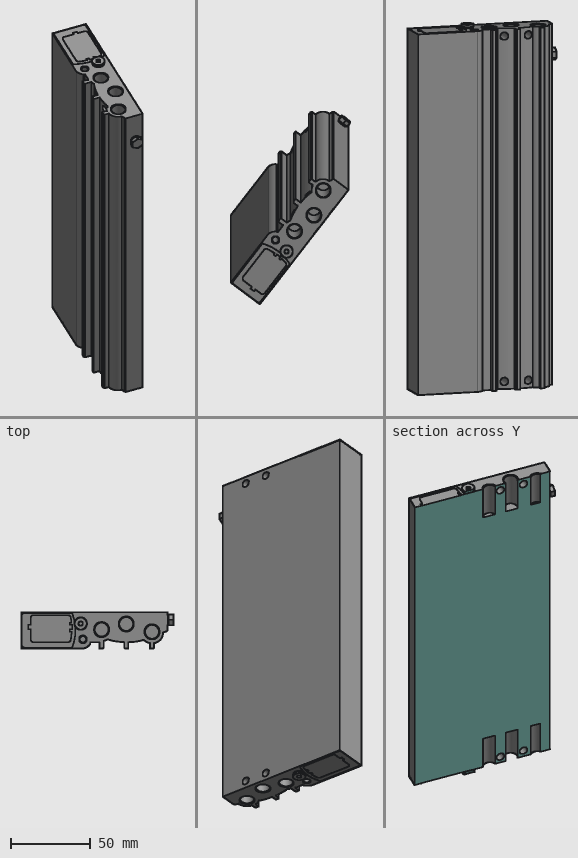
import cadquery as cq
import math


total_length = 234.0
total_width = 95.5
depth = 23.0
screw_height = 2.0
body_length = total_length - 2 * screw_height
body_end = body_length / 2
plug_height = 3.7
body_width = total_width - plug_height

channel_1 = (50.3, 12.0)
channel_2 = (65.8, 15.5)
channel_3 = (82.0, 10.5)
channel_diameter = 8.7
channel_mouth = 9.5
boss_radius = 7.3
small_port = (38.5, 5.8)
small_port_diameter = 4.0
small_port_mouth = 5.0
port_depth = 23.5

base_end_x = 38.8
shoulder_x = 43.3
shoulder_start_y = 3.0
base_curve_middle = (41.2, 1.0)
web_y = 4.0
crest_left_x = 54.0
crest_right_x = 76.8
web_arc_sag = 0.35
rib_width = 2.8
rib_chamfer = 0.7
corner_curve_middle = (86.8, 5.1)
corner_ledge = (89.0, 10.0)
corner_slope_y = 10.8
corner_wall_y = 11.5
corner_slope_x = body_width - 0.7

cross_hole_diameter = 5.0
cross_hole_x = (58.0, 73.7)
cross_hole_z = 110.0

recess_step = 0.12
recess_left = 0.2
recess_wall = 0.7
recess_right = 31.8
recess_bulge = 2.0
recess_corner = 1.57
panel_left = 5.8
panel_right = 30.7
panel_bottom = 4.0
panel_top = 21.0
panel_bulge = 1.0
panel_corner = 1.8
panel_middle = (panel_bottom + panel_top) / 2
tab_y = 13.5
tab_width = 2.8
tab_reach = 1.5
key_bottom = 10.5
key_top = 16.1
key_left = 30.5
key_right = 31.8

screw_position = (37.2, 15.7)
screw_diameter = 8.0
socket_diameter = 2.5
socket_mouth = 2.8
socket_depth = 1.5
neck_height = 0.7
neck_inset = 0.2

plug_y = 18.0
plug_z = 94.5
plug_corner_diameter = 8.0
plug_flat_diameter = plug_corner_diameter * math.cos(math.pi / 6)


def boss_point(center, x):
    """Point on the front of the round boss around a channel, at the given x."""
    return (x, center[1] - math.sqrt(boss_radius**2 - (x - center[0]) ** 2))


def section():
    """Closed outline of the extruded manifold."""
    half = rib_width / 2
    rib_1_left, rib_1_right = channel_1[0] - half, channel_1[0] + half
    rib_2_left, rib_2_right = channel_2[0] - half, channel_2[0] + half
    rib_3_left, rib_3_right = channel_3[0] - half, channel_3[0] + half
    crest_left = boss_point(channel_1, crest_left_x)
    crest_right = boss_point(channel_3, crest_right_x)
    boss_left_middle = boss_point(channel_1, (rib_1_right + crest_left_x) / 2)
    boss_right_middle = boss_point(channel_3, (crest_right_x + rib_3_left) / 2)
    web_left_middle = ((crest_left_x + rib_2_left) / 2, (crest_left[1] + web_y) / 2 - web_arc_sag)
    web_right_middle = ((crest_right_x + rib_2_right) / 2, (crest_right[1] + web_y) / 2 - web_arc_sag)
    return (
        cq.Workplane("XY")
        .moveTo(0, 0)
        .lineTo(base_end_x, 0)
        .threePointArc(base_curve_middle, (shoulder_x, shoulder_start_y))
        .lineTo(shoulder_x, web_y)
        .lineTo(rib_1_left, web_y)
        .lineTo(rib_1_left, 0)
        .lineTo(rib_1_right - rib_chamfer, 0)
        .lineTo(rib_1_right, rib_chamfer)
        .lineTo(*boss_point(channel_1, rib_1_right))
        .threePointArc(boss_left_middle, crest_left)
        .threePointArc(web_left_middle, (rib_2_left, web_y))
        .lineTo(rib_2_left, rib_chamfer)
        .lineTo(rib_2_left + rib_chamfer, 0)
        .lineTo(rib_2_right, 0)
        .lineTo(rib_2_right, web_y)
        .threePointArc(web_right_middle, crest_right)
        .threePointArc(boss_right_middle, boss_point(channel_3, rib_3_left))
        .lineTo(rib_3_left, 0)
        .lineTo(rib_3_right - rib_chamfer, 0)
        .lineTo(rib_3_right, rib_chamfer)
        .lineTo(*boss_point(channel_3, rib_3_right))
        .threePointArc(corner_curve_middle, corner_ledge)
        .lineTo(corner_slope_x, corner_slope_y)
        .lineTo(body_width, corner_wall_y)
        .lineTo(body_width, depth)
        .lineTo(0, depth)
        .close()
    )


def blind_port(position, diameter, mouth):
    """Cutter for a blind port with a chamfered mouth at the upper end."""
    chamfer = (mouth - diameter) / 2
    bore = cq.Workplane("XY").circle(diameter / 2).extrude(-port_depth)
    cone = cq.Workplane("XY").circle(mouth / 2).extrude(-chamfer, taper=45)
    return bore.union(cone).translate((*position, body_end))


def recess():
    """Cutter for the shallow recess and its deeper panel at the upper end."""
    ledge = (
        cq.Workplane("XY", origin=(0, 0, body_end))
        .moveTo(recess_left, recess_wall)
        .lineTo(recess_right, recess_wall)
        .threePointArc((recess_right + recess_bulge, depth / 2), (recess_right, depth - recess_wall))
        .lineTo(recess_left, depth - recess_wall)
        .close()
        .extrude(-recess_step)
        .edges("|Z and <X")
        .fillet(recess_corner)
    )
    panel = (
        cq.Workplane("XY", origin=(0, 0, body_end))
        .moveTo(panel_left, panel_bottom)
        .lineTo(panel_right, panel_bottom)
        .threePointArc((panel_right + panel_bulge, panel_middle), (panel_right, panel_top))
        .lineTo(panel_left, panel_top)
        .close()
        .extrude(-2 * recess_step)
        .edges("|Z")
        .fillet(panel_corner)
    )
    key = (
        cq.Workplane("XY", origin=(0, 0, body_end))
        .moveTo(key_left, key_bottom)
        .lineTo(body_width, key_bottom)
        .lineTo(body_width, key_top)
        .lineTo(key_left, key_top)
        .close()
        .extrude(-2 * recess_step)
    )
    tabs_length = key_right - panel_left + tab_reach
    tabs = cq.Workplane("XY").box(tabs_length, tab_width, 2 * recess_step, centered=(False, True, False))
    tabs = tabs.translate((panel_left - tab_reach, tab_y, body_end - 2 * recess_step))
    return ledge.union(panel.cut(key)).union(tabs)


def make_manifold():
    body = section().extrude(body_length).translate((0, 0, -body_end))
    end_cuts = [blind_port(c, channel_diameter, channel_mouth) for c in (channel_1, channel_2, channel_3)]
    end_cuts.append(blind_port(small_port, small_port_diameter, small_port_mouth))
    end_cuts.append(recess())
    for cutter in end_cuts:
        body = body.cut(cutter).cut(cutter.mirror("XY"))
    holes = [(x, z) for x in cross_hole_x for z in (-cross_hole_z, cross_hole_z)]
    drill = cq.Workplane("XZ").pushPoints(holes).circle(cross_hole_diameter / 2).extrude(-depth)
    return body.cut(drill)


def make_screw(is_upper):
    """Screw head standing on the upper or the lower end of the manifold."""
    neck = cq.Workplane("XY").circle(screw_diameter / 2 - neck_inset).extrude(neck_height)
    head = (
        cq.Workplane("XY", origin=(0, 0, neck_height))
        .circle(screw_diameter / 2)
        .extrude(screw_height - neck_height)
    )
    socket = (
        cq.Workplane("XY", origin=(0, 0, screw_height)).circle(socket_diameter / 2).extrude(-socket_depth)
    )
    mouth_depth = (socket_mouth - socket_diameter) / 2
    mouth = (
        cq.Workplane("XY", origin=(0, 0, screw_height))
        .circle(socket_mouth / 2)
        .extrude(-mouth_depth, taper=45)
    )
    screw = neck.union(head).cut(socket).cut(mouth).translate((*screw_position, body_end))
    return screw if is_upper else screw.mirror("XY")


def make_plug():
    """Hexagonal plug on the right side, with corners pointing along Z."""
    face = cq.Workplane("YZ", origin=(body_width, plug_y, plug_z))
    neck = face.circle(plug_flat_diameter / 2 - neck_inset).extrude(neck_height)
    head = (
        face.workplane(offset=neck_height)
        .transformed(rotate=(0, 0, 90))
        .polygon(6, plug_corner_diameter)
        .extrude(plug_height - neck_height)
    )
    return neck.union(head)


manifold = make_manifold()
screws = [make_screw(is_upper) for is_upper in (True, False)]
side_plug = make_plug()

result = cq.Compound.makeCompound([manifold.val(), *[screw.val() for screw in screws], side_plug.val()])